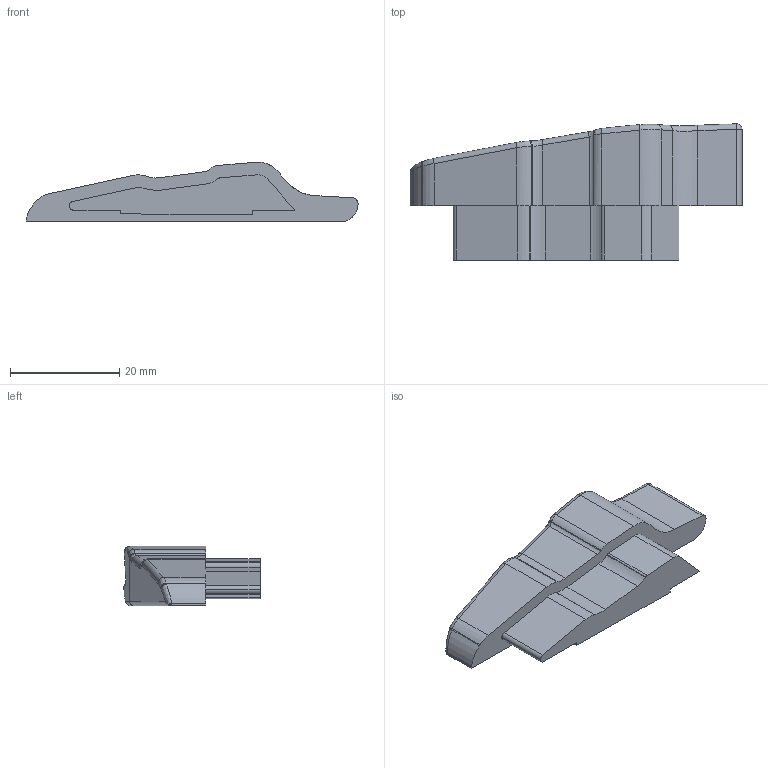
import cadquery as cq
import math

PLATE_LENGTH = 60.87
TAIL_HEIGHT = 4.36
STOCK_DEPTH = 20.0
STOCK_HEIGHT = 20.0
OVERRUN = 5.0
ENVELOPE_MARGIN = 10.0
EDGE_TOLERANCE = 0.01

UPPER_CORNERS = [
    (0.00, -OVERRUN, 0.0),
    (0.00, 0.35, 0.0),
    (0.53, 2.60, 6.8),
    (3.21, 4.96, 4.7),
    (20.90, 8.80, 5.0),
    (23.38, 7.94, 4.2),
    (33.28, 9.28, 1.3),
    (34.29, 10.27, 2.4),
    (44.46, 11.14, 4.8),
    (50.00, 4.99, 6.8),
    (PLATE_LENGTH, TAIL_HEIGHT, 1.1),
    (PLATE_LENGTH, -OVERRUN, 0.0),
]

LOWER_CORNERS = [
    (-OVERRUN, 0.0, 0.0),
    (-OVERRUN, STOCK_HEIGHT, 0.0),
    (PLATE_LENGTH, STOCK_HEIGHT, 0.0),
    (PLATE_LENGTH, 0.0, 3.2),
]

RULING_RUN = 2.0
WALL_NOSE_DEPTH = 6.99
WALL_SLOPE = 0.1334
WALL_BEND_X = 51.84
WALL_RADIUS = 26.0
BACK_EDGE_RADIUS = 1.0

TONGUE_LENGTH = 10.0
TONGUE_FRONT = 7.95
TONGUE_BASE = 2.15
KEEL_FRONT = 17.35
KEEL_REAR = 41.55
TONGUE_CORNERS = [
    (KEEL_FRONT, TONGUE_BASE, 0.0),
    (TONGUE_FRONT, TONGUE_BASE, 0.8),
    (TONGUE_FRONT, 3.60, 0.75),
    (20.85, 6.42, 4.4),
    (23.38, 5.65, 6.6),
    (34.25, 7.11, 4.1),
    (35.40, 8.07, 0.7),
    (43.49, 8.71, 2.2),
    (49.30, TONGUE_BASE, 0.0),
    (KEEL_REAR, TONGUE_BASE, 0.0),
    (KEEL_REAR, 1.30, 0.0),
    (KEEL_FRONT, 1.47, 0.0),
]


def unit(start, end):
    """Unit direction from one XZ point to another."""
    length = math.hypot(end[0] - start[0], end[1] - start[1])
    return (end[0] - start[0]) / length, (end[1] - start[1]) / length


def corner_arc(before, corner, after):
    """Start, middle and end of the arc that rounds one corner."""
    back = unit(corner, before)
    ahead = unit(corner, after)
    half_angle = math.acos(back[0] * ahead[0] + back[1] * ahead[1]) / 2
    radius = corner[2]
    tangent_length = radius / math.tan(half_angle)
    middle_length = radius / math.sin(half_angle) - radius
    inward = unit((0, 0), (back[0] + ahead[0], back[1] + ahead[1]))
    steps = [(back, tangent_length), (inward, middle_length), (ahead, tangent_length)]
    return [(corner[0] + way[0] * dist, corner[1] + way[1] * dist) for way, dist in steps]


def rounded_outline(corners):
    """Closed XZ outline through the corners, each rounded to its radius; the first stays sharp."""
    outline = cq.Workplane("XZ").moveTo(*corners[0][:2])
    for index in range(1, len(corners)):
        corner = corners[index]
        if corner[2] == 0:
            outline = outline.lineTo(*corner[:2])
            continue
        after = corners[(index + 1) % len(corners)]
        start, middle, end = corner_arc(corners[index - 1], corner, after)
        outline = outline.lineTo(*start).threePointArc(middle, end)
    return outline.close()


def wall_envelope():
    """Everything in front of the back wall, swept along the wall's rulings."""
    ruling_length = math.hypot(1, RULING_RUN)
    lean = math.atan(WALL_SLOPE * ruling_length)
    section_plane = cq.Plane(
        origin=(0, 0, 0),
        xDir=(1, 0, RULING_RUN),
        normal=(-RULING_RUN, 0, 1),
    )
    start = -ENVELOPE_MARGIN
    start_y = WALL_NOSE_DEPTH + start * math.tan(lean)
    bend = WALL_BEND_X / ruling_length
    bend_y = WALL_NOSE_DEPTH + WALL_BEND_X * WALL_SLOPE
    centre = (bend + WALL_RADIUS * math.sin(lean), bend_y - WALL_RADIUS * math.cos(lean))
    crown = (centre[0], centre[1] + WALL_RADIUS)
    arc_end = (centre[0] + WALL_RADIUS * math.sin(lean), bend_y)
    return (
        cq.Workplane(section_plane)
        .moveTo(start, -ENVELOPE_MARGIN)
        .lineTo(start, start_y)
        .lineTo(bend, bend_y)
        .threePointArc(crown, arc_end)
        .lineTo(arc_end[0], -ENVELOPE_MARGIN)
        .close()
        .extrude(PLATE_LENGTH + ENVELOPE_MARGIN, both=True)
    )


def rounded_blank(corners):
    """Outline trimmed by the back wall, with the finished edges of that wall rounded."""
    blank = rounded_outline(corners).extrude(-STOCK_DEPTH).intersect(wall_envelope())
    finished_back = cq.selectors.BoxSelector(
        (EDGE_TOLERANCE - OVERRUN, EDGE_TOLERANCE, EDGE_TOLERANCE - OVERRUN),
        (PLATE_LENGTH + EDGE_TOLERANCE, STOCK_DEPTH, STOCK_HEIGHT - EDGE_TOLERANCE),
    )
    wall_seam = cq.selectors.ParallelDirSelector(cq.Vector(RULING_RUN, 0, -1))
    edges = blank.edges("not |Y").edges(finished_back - wall_seam)
    return edges.fillet(BACK_EDGE_RADIUS)


def make_plate():
    """Plate, as the common part of the blanks with its upper and lower outlines."""
    return rounded_blank(UPPER_CORNERS).intersect(rounded_blank(LOWER_CORNERS))


def make_tongue():
    """Tongue standing out from the front face of the plate."""
    return rounded_outline(TONGUE_CORNERS).extrude(TONGUE_LENGTH)


result = make_plate().union(make_tongue())